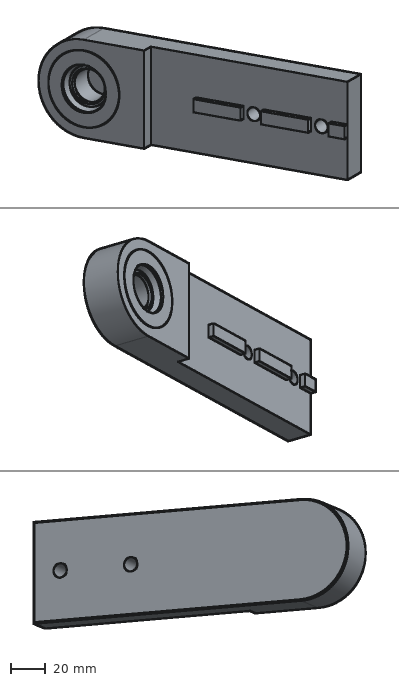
import cadquery as cq

LENGTH = 200.0
HEIGHT = 60.0
EYE_RADIUS = HEIGHT / 2
EYE_X = EYE_RADIUS
THICKNESS = 25.0
HEAD_LENGTH = 70.0
STEP_DEPTH = 8.0
BACK_CHAMFER = 0.8

HOLE_DIAMETER = 8.5
HOLE_PITCH = 44.8
FIRST_HOLE_X = 138.0
HOLE_COUNT = 2
KEY_START_X = 100.0
KEY_GAP = 13.5
KEY_LENGTH = HOLE_PITCH - KEY_GAP
KEY_COUNT = HOLE_COUNT + 1
KEY_HEIGHT = 8.0
KEY_PROJECTION = 3.5

SEAT_DIAMETER = 47.0
SEAT_DEPTH = 23.0
RING_BORE = 29.2
RING_THICKNESS = 1.5
RING_CHAMFER = 0.2
CONE_MOUTH = 28.8
CONE_BOTTOM = 25.0
CONE_DEPTH = 4.0
BUSH_BORE = 20.0
BORE_CHAMFER_WIDTH = 0.8
BORE_CHAMFER_DEPTH = 1.5


def disc(diameter, start_y, depth):
    """Cylinder on the eye axis, running from start_y toward +Y."""
    return (
        cq.Workplane("XZ", origin=(EYE_X, start_y, 0))
        .circle(diameter / 2)
        .extrude(-depth)
    )


def make_arm():
    blank = (
        cq.Workplane("XZ")
        .moveTo(EYE_X, EYE_RADIUS)
        .lineTo(LENGTH, EYE_RADIUS)
        .lineTo(LENGTH, -EYE_RADIUS)
        .lineTo(EYE_X, -EYE_RADIUS)
        .threePointArc((EYE_X - EYE_RADIUS, 0), (EYE_X, EYE_RADIUS))
        .close()
        .extrude(-THICKNESS)
        .faces(">Y")
        .chamfer(BACK_CHAMFER)
    )
    step = cq.Workplane("XY").box(
        LENGTH - HEAD_LENGTH, STEP_DEPTH, HEIGHT, centered=(False, False, True)
    ).translate((HEAD_LENGTH, 0, 0))
    hole_centers = [(FIRST_HOLE_X + i * HOLE_PITCH, 0) for i in range(HOLE_COUNT)]
    holes = cq.Workplane("XZ").pushPoints(hole_centers).circle(HOLE_DIAMETER / 2).extrude(-THICKNESS)
    return blank.cut(step).cut(holes).cut(disc(SEAT_DIAMETER, 0, SEAT_DEPTH))


def make_ring():
    blank = disc(SEAT_DIAMETER, 0, RING_THICKNESS).faces("<Y").chamfer(RING_CHAMFER)
    return blank.cut(disc(RING_BORE, 0, RING_THICKNESS))


def make_bush():
    """Bush behind the ring, with a tapered mouth and a chamfered bore."""
    cone_end_y = RING_THICKNESS + CONE_DEPTH
    bore_radius = BUSH_BORE / 2
    return (
        cq.Workplane("XY", origin=(EYE_X, 0, 0))
        .polyline([
            (CONE_MOUTH / 2, RING_THICKNESS),
            (SEAT_DIAMETER / 2, RING_THICKNESS),
            (SEAT_DIAMETER / 2, SEAT_DEPTH),
            (bore_radius, SEAT_DEPTH),
            (bore_radius, cone_end_y + BORE_CHAMFER_DEPTH),
            (bore_radius + BORE_CHAMFER_WIDTH, cone_end_y),
            (CONE_BOTTOM / 2, cone_end_y),
        ])
        .close()
        .revolve(360, (0, 0, 0), (0, 1, 0))
    )


def make_key(index):
    """Key on the stepped face; the last one is cut short by the end of the arm."""
    start_x = KEY_START_X + index * HOLE_PITCH
    length = min(KEY_LENGTH, LENGTH - start_x)
    key = cq.Workplane("XY").box(length, KEY_PROJECTION, KEY_HEIGHT, centered=(False, False, True))
    return key.translate((start_x, STEP_DEPTH - KEY_PROJECTION, 0))


arm = make_arm()
ring = make_ring()
bush = make_bush()
keys = [make_key(i) for i in range(KEY_COUNT)]

result = cq.Compound.makeCompound([arm.val(), ring.val(), bush.val(), *[key.val() for key in keys]])